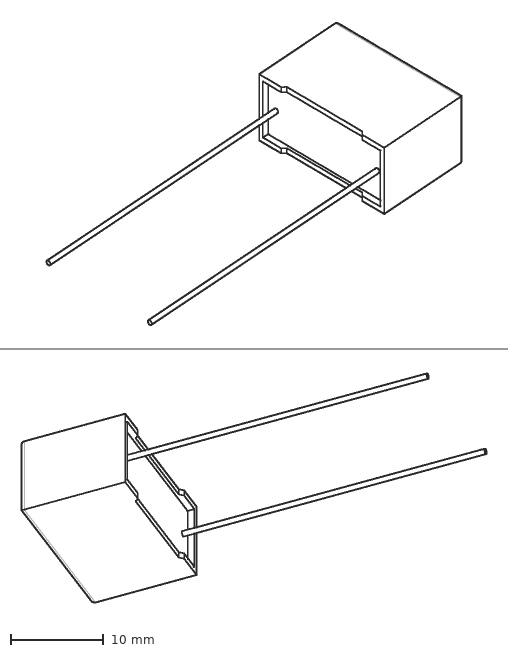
import cadquery as cq

case_width = 18.5
case_height = 9.2
case_depth = 12.5
overall_length = 47.6

side_wall = 0.55
top_wall = 0.7
back_wall = top_wall
back_fillet = 0.5
relief_depth = 0.45
relief_floor_width = 11.15
relief_mouth_width = relief_floor_width + 2 * relief_depth

fill_setback = 0.8
lead_diameter = 0.6
lead_pitch = 15.0
lead_embedment = 1.9

lead_tip_y = -overall_length / 2
case_back_y = overall_length / 2
case_front_y = case_back_y - case_depth
cavity_back_y = case_back_y - back_wall
fill_front_y = case_front_y + fill_setback
lead_root_y = fill_front_y + lead_embedment


def block(width, height, front_y, back_y):
    """Box centred on the Y axis, spanning front_y to back_y."""
    return cq.Workplane("XY").box(width, back_y - front_y, height).translate((0, (front_y + back_y) / 2, 0))


def cavity_block(front_y):
    """Interior of the case from front_y to the back wall."""
    return block(case_width - 2 * side_wall, case_height - 2 * top_wall, front_y, cavity_back_y)


def make_case():
    """Open-fronted case with rounded back edges and relieved long rims."""
    shell = block(case_width, case_height, case_front_y, case_back_y)
    shell = shell.faces(">Y").edges().fillet(back_fillet)
    relief = (
        cq.Workplane("XY")
        .polyline([
            (-relief_mouth_width / 2, case_front_y),
            (-relief_floor_width / 2, case_front_y + relief_depth),
            (relief_floor_width / 2, case_front_y + relief_depth),
            (relief_mouth_width / 2, case_front_y),
        ])
        .close()
        .extrude(case_height / 2, both=True)
    )
    return shell.cut(cavity_block(case_front_y)).cut(relief)


def make_lead(x):
    """Straight round wire from its tip to its embedded root."""
    wire = cq.Workplane("XZ", origin=(x, lead_root_y, 0)).circle(lead_diameter / 2)
    return wire.extrude(lead_root_y - lead_tip_y)


def make_fill(leads):
    """Resin block filling the cavity, with a blind hole around each lead."""
    fill = cavity_block(fill_front_y)
    for lead in leads:
        fill = fill.cut(lead)
    return fill


case = make_case()
leads = [make_lead(side * lead_pitch / 2) for side in (-1, 1)]
fill = make_fill(leads)

result = cq.Compound.makeCompound([case.val(), fill.val(), *[lead.val() for lead in leads]])